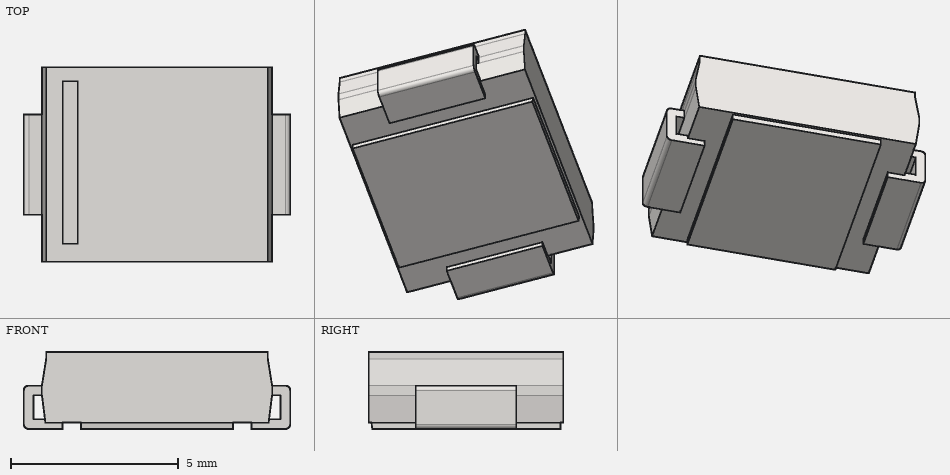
import cadquery as cq

LENGTH = 7.95
WIDTH = 5.8
HEIGHT = 2.3

HOUSING_LENGTH = 6.87
HOUSING_TOP_LENGTH = 6.615
HOUSING_BOTTOM_LENGTH = 6.66
STANDOFF = 0.19
MID_BAND_BOTTOM = 1.0
MID_BAND_TOP = 1.3
TOP_BAND = 0.2

LEAD_THICKNESS = 0.295
LEAD_WIDTH = 3.0
LEAD_TOP = 1.295
LEAD_RADIUS = 0.14
FOOT_LENGTH = 1.16

PAD_LENGTH = 4.55
PAD_WIDTH = 5.645
PAD_LEAN = 0.02

MARK_LENGTH = 0.445
MARK_WIDTH = 4.85
MARK_DEPTH = 0.03
MARK_X = -2.58
MARK_Y = 0.06


def make_housing_blank():
    """Extrude the bulging side profile along the full width."""
    right_side = [
        (HOUSING_BOTTOM_LENGTH / 2, STANDOFF),
        (HOUSING_LENGTH / 2, MID_BAND_BOTTOM),
        (HOUSING_LENGTH / 2, MID_BAND_TOP),
        (HOUSING_TOP_LENGTH / 2, HEIGHT - TOP_BAND),
        (HOUSING_TOP_LENGTH / 2, HEIGHT),
    ]
    left_side = [(-x, z) for x, z in reversed(right_side)]
    profile = cq.Workplane("XZ").polyline(right_side + left_side).close()
    return profile.extrude(WIDTH / 2, both=True)


def make_lead(side):
    """Make a C-shaped lead; side is -1 for the -X end and 1 for the +X end."""
    outer_x = side * LENGTH / 2
    inner_x = side * (LENGTH / 2 - LEAD_THICKNESS)
    arm_x = side * HOUSING_LENGTH / 2
    foot_x = side * (LENGTH / 2 - FOOT_LENGTH)
    outline = [
        (arm_x, LEAD_TOP),
        (outer_x, LEAD_TOP),
        (outer_x, 0),
        (foot_x, 0),
        (foot_x, LEAD_THICKNESS),
        (inner_x, LEAD_THICKNESS),
        (inner_x, LEAD_TOP - LEAD_THICKNESS),
        (arm_x, LEAD_TOP - LEAD_THICKNESS),
    ]
    lead = cq.Workplane("XZ").polyline(outline).close().extrude(LEAD_WIDTH / 2, both=True)
    outer_face = ">X" if side > 0 else "<X"
    return lead.faces(outer_face).edges("|Y").fillet(LEAD_RADIUS)


def make_base_pad():
    """Make the pad under the housing; its -Y face leans and the other sides are upright."""
    back_y = PAD_WIDTH / 2
    section = [
        (-back_y + PAD_LEAN, 0),
        (back_y, 0),
        (back_y, STANDOFF),
        (-back_y, STANDOFF),
    ]
    return cq.Workplane("YZ").polyline(section).close().extrude(PAD_LENGTH / 2, both=True)


def make_mark():
    """Make the thin bar whose top is level with the housing top."""
    bar = cq.Workplane("XY").box(MARK_LENGTH, MARK_WIDTH, MARK_DEPTH)
    return bar.translate((MARK_X, MARK_Y, HEIGHT - MARK_DEPTH / 2))


leads = [make_lead(side) for side in (-1, 1)]
base_pad = make_base_pad()
mark = make_mark()

housing = make_housing_blank().cut(mark)
for lead in leads:
    housing = housing.cut(lead)

result = cq.Compound.makeCompound(
    [housing.val(), base_pad.val(), mark.val(), *[lead.val() for lead in leads]]
)